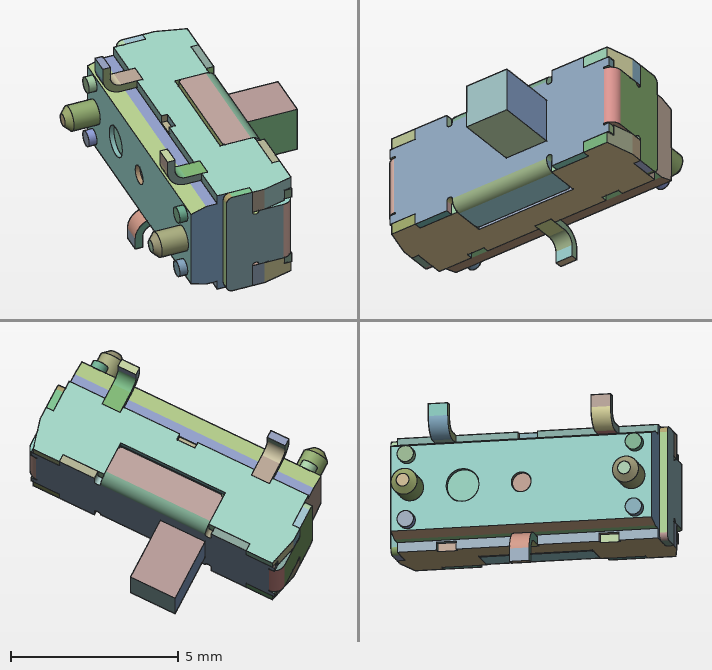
import cadquery as cq


cover_length = 8.5
body_height = 3.5
sheet = 0.25
half_height = body_height / 2
half_cover = cover_length / 2
half_body = half_cover - sheet

step_depth = 2.4
taper_depth = 2.75
base_depth = 3.25
step_half_height = 1.45
base_half_height = 1.3
shoulder_chamfer_depth = 0.95
shoulder_depth = 1.35

peg_x = 3.4
peg_diameter = 0.8
peg_chamfer = 0.2
peg_tip_depth = 4.3
foot_x = 3.5
foot_z = 1.0
foot_diameter = 0.5
foot_tip_depth = 3.5
dimples = [(-1.8, 1.0), (0.0, 0.6)]
dimple_depth = 0.15

bend_radius = 0.35
wing_half_length = 3.13
arm_half_length = 4.07
arm_half_height = 1.37
tab_half_width = 1.75
tab_end_depth = 1.25
tab_corner_chamfer = 0.08
tab_slot_width = 0.2
strip_half_width = 1.0
strip_slot_width = 0.05
end_plate_depth = 2.2
end_plate_radius = 0.2
relief_radius = 0.1
relief_depth = shoulder_depth - relief_radius

lever_width = 1.5
lever_x = lever_width / 2 - tab_half_width
lever_reach = 2.0

terminal_width = 0.6
terminal_pitch = 2.5
terminal_reach = 2.5
terminal_start_depth = 2.2
terminal_foot_depth = 3.5
terminal_bend_radius = 0.6
terminal_columns = [-terminal_pitch, 0.0, terminal_pitch]
terminal_places = [(-terminal_pitch, 1), (0.0, -1), (terminal_pitch, 1)]


def block(x_range, y_range, z_range):
    """Box given by its lowest and highest coordinate on each axis."""
    lows, highs = zip(x_range, y_range, z_range)
    sizes = [high - low for low, high in zip(lows, highs)]
    return cq.Workplane("XY").box(*sizes, centered=False).translate(lows)


def outward_sketch(outward, x=0.0):
    """Workplane whose local x points outward and whose local y is +Y."""
    direction = cq.Vector(*outward)
    normal = direction.cross(cq.Vector(0, 1, 0))
    return cq.Workplane(cq.Plane(origin=(x, 0, 0), xDir=direction, normal=normal))


def cylinder(x, z, diameter, start_depth, end_depth):
    """Cylinder along Y between two depths."""
    sketch = cq.Workplane("XZ", origin=(x, -start_depth, z)).circle(diameter / 2)
    return sketch.extrude(end_depth - start_depth)


def tab_slot(side_x, side_z):
    """Round-bottomed slot that frees a tab's bend from the neighbouring wing."""
    center_x = side_x * (tab_half_width + tab_slot_width / 2)
    root = half_height - bend_radius
    x_range = (center_x - tab_slot_width / 2, center_x + tab_slot_width / 2)
    slot = block(x_range, (-sheet, 0), sorted((side_z * root, side_z * half_height)))
    return slot.union(cylinder(center_x, side_z * root, tab_slot_width, 0, sheet))


def strip_slot(side_x, side_z):
    """Round-bottomed slot that frees an end strip's bend from the neighbouring arm."""
    center_z = side_z * (strip_half_width + strip_slot_width / 2)
    root = half_cover - bend_radius
    z_range = (center_z - strip_slot_width / 2, center_z + strip_slot_width / 2)
    slot = block(sorted((side_x * root, side_x * arm_half_length)), (-sheet, 0), z_range)
    return slot.union(cylinder(side_x * root, center_z, strip_slot_width, 0, sheet))


def face_plate_outline():
    """Cross of a tall, short rectangle and a low, long one."""
    depth = (-sheet, 0)
    wings = block((-wing_half_length, wing_half_length), depth, (-half_height, half_height))
    arms = block((-arm_half_length, arm_half_length), depth, (-arm_half_height, arm_half_height))
    return wings.union(arms)


def face_plate():
    """Face plate with the bend zones of tabs and end strips left open."""
    plate = face_plate_outline()
    depth = (-sheet, 0)
    tab_gap = (-tab_half_width, tab_half_width)
    strip_gap = (-strip_half_width, strip_half_width)
    for side in (-1, 1):
        tab_bend = sorted((side * (half_height - bend_radius), side * half_height))
        strip_bend = sorted((side * (half_cover - bend_radius), side * half_cover))
        plate = plate.cut(block(tab_gap, depth, tab_bend))
        plate = plate.cut(block(strip_bend, depth, strip_gap))
        for side_z in (-1, 1):
            plate = plate.cut(tab_slot(side, side_z)).cut(strip_slot(side, side_z))
    return plate


def bent_strip(outward, outer, end_depth, half_width):
    """Sheet that leaves the face plate, turns the corner and runs toward -Y."""
    inner = outer - sheet
    inner_radius = bend_radius - sheet
    root = outer - bend_radius
    profile = (
        outward_sketch(outward)
        .moveTo(root, 0)
        .radiusArc((outer, -bend_radius), bend_radius)
        .lineTo(outer, -end_depth)
        .lineTo(inner, -end_depth)
        .lineTo(inner, -bend_radius)
        .radiusArc((root, -sheet), -inner_radius)
        .close()
    )
    return profile.extrude(half_width, both=True)


def end_plate(side):
    x_range = sorted((side * half_body, side * half_cover))
    plate = block(x_range, (-end_plate_depth, -shoulder_depth), (-half_height, half_height))
    return plate.edges("|X and <Y").fillet(end_plate_radius)


def relief_holes():
    centers = [(-relief_depth, strip_half_width), (-relief_depth, -strip_half_width)]
    sketch = cq.Workplane("YZ").pushPoints(centers).circle(relief_radius)
    return sketch.extrude(half_cover, both=True)


def make_cover():
    cover = face_plate()
    for side in (-1, 1):
        tab = bent_strip((0, 0, side), half_height, tab_end_depth, tab_half_width)
        cover = cover.union(tab.edges("|Z and <Y").chamfer(tab_corner_chamfer))
        strip = bent_strip((side, 0, 0), half_cover, shoulder_depth, strip_half_width)
        cover = cover.union(strip.cut(relief_holes()))
        cover = cover.union(end_plate(side))
    return cover


def make_lever():
    half = lever_width / 2
    return block((lever_x - half, lever_x + half), (-sheet, lever_reach), (-half, half))


def make_terminal(x, side):
    outer = half_height
    inner = outer - sheet
    inner_radius = terminal_bend_radius - sheet
    bend_depth = terminal_foot_depth - terminal_bend_radius
    bend_end = inner + terminal_bend_radius
    profile = (
        outward_sketch((0, 0, side), x)
        .moveTo(inner, -terminal_start_depth)
        .lineTo(inner, -bend_depth)
        .radiusArc((bend_end, -terminal_foot_depth), -terminal_bend_radius)
        .lineTo(terminal_reach, -terminal_foot_depth)
        .lineTo(terminal_reach, sheet - terminal_foot_depth)
        .lineTo(bend_end, sheet - terminal_foot_depth)
        .radiusArc((outer, -bend_depth), inner_radius)
        .lineTo(outer, -terminal_start_depth)
        .close()
    )
    return profile.extrude(terminal_width / 2, both=True)


def housing_block():
    """Side profile with the stepped, tapered base, run along X."""
    half_profile = [
        (0, half_height),
        (-step_depth, half_height),
        (-step_depth, step_half_height),
        (-taper_depth, step_half_height),
        (-base_depth, base_half_height),
    ]
    mirrored = [(y, -z) for y, z in reversed(half_profile)]
    return cq.Workplane("YZ").polyline(half_profile + mirrored).close().extrude(half_body, both=True)


def end_shoulders():
    """Chamfered blocks that fill the corners beside the cover's end strips."""
    profile = (
        cq.Workplane("XY")
        .polyline([
            (-half_body, 0),
            (half_body, 0),
            (half_cover, -shoulder_chamfer_depth),
            (half_cover, -shoulder_depth),
            (-half_cover, -shoulder_depth),
            (-half_cover, -shoulder_chamfer_depth),
        ])
        .close()
    )
    full = profile.extrude(half_height, both=True)
    strip_gap = (-strip_half_width, strip_half_width)
    for side in (-1, 1):
        x_range = sorted((side * half_body, side * half_cover))
        full = full.cut(block(x_range, (-shoulder_depth, 0), strip_gap))
    return full


def side_pockets(side):
    """Tab pocket and terminal slots in the +Z or -Z side."""
    z_range = sorted((side * (half_height - sheet), side * half_height))
    pockets = block((-tab_half_width, tab_half_width), (-shoulder_depth, 0), z_range)
    half = terminal_width / 2
    for x in terminal_columns:
        slot = block((x - half, x + half), (-step_depth, -terminal_start_depth), z_range)
        pockets = pockets.union(slot)
    return pockets


def make_housing(cover, lever):
    housing = housing_block().union(end_shoulders()).cut(face_plate_outline())
    for side in (-1, 1):
        housing = housing.cut(side_pockets(side))
        peg = cylinder(side * peg_x, 0, peg_diameter, base_depth, peg_tip_depth)
        housing = housing.union(peg.faces("<Y").chamfer(peg_chamfer))
        for z in (-foot_z, foot_z):
            housing = housing.union(cylinder(side * foot_x, z, foot_diameter, base_depth, foot_tip_depth))
    for x, diameter in dimples:
        housing = housing.cut(cylinder(x, 0, diameter, base_depth - dimple_depth, base_depth))
    return housing.cut(cover).cut(lever)


lever = make_lever()
full_cover = make_cover()
housing = make_housing(full_cover, lever)
cover = full_cover.cut(lever)
terminals = [make_terminal(x, side).val() for x, side in terminal_places]

result = cq.Compound.makeCompound([housing.val(), cover.val(), lever.val(), *terminals])